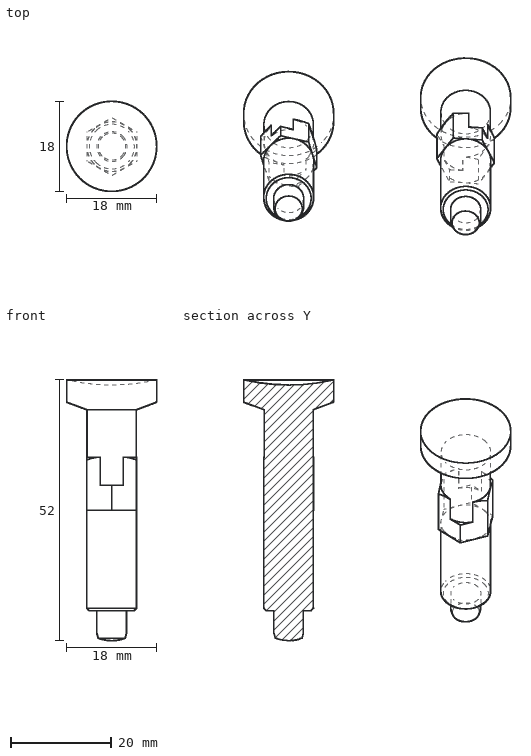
import cadquery as cq
import math

total_height = 52.0
tip_dome_top = 0.5
pin_edge = 1.55
sleeve_bottom = 6.0
hex_bottom = 26.0
slot_floor = 31.0
hex_top = 36.6
knob_bottom = 46.0
knob_cone_top = 47.55

pin_diameter = 6.0
tip_diameter = 5.4
body_diameter = 10.0
neck_diameter = 9.9
knob_diameter = 18.0
hex_width = body_diameter
slot_width = 4.6

sleeve_chamfer = 0.5
knob_rim = 0.25
knob_edge_radius = 0.4
dish_depth = 1.0
hex_chamfer_angle = 35.0

pin_radius = pin_diameter / 2
tip_radius = tip_diameter / 2
body_radius = body_diameter / 2
neck_radius = neck_diameter / 2
knob_radius = knob_diameter / 2
hex_corner_radius = hex_width / 2 / math.cos(math.radians(30))


def arc_height(radius, rise, position):
    """Height above the centre of a shallow spherical cap that rises to `rise` at `radius`."""
    sphere_radius = (radius**2 + rise**2) / (2 * rise)
    return sphere_radius - math.sqrt(sphere_radius**2 - position**2)


def make_body():
    """Pin, sleeve and neck turned about Z."""
    dome_middle = (tip_radius / 2, arc_height(tip_radius, tip_dome_top, tip_radius / 2))
    return (
        cq.Workplane("XZ")
        .moveTo(0, 0)
        .threePointArc(dome_middle, (tip_radius, tip_dome_top))
        .lineTo(pin_radius, pin_edge)
        .lineTo(pin_radius, sleeve_bottom)
        .lineTo(body_radius - sleeve_chamfer, sleeve_bottom)
        .lineTo(body_radius, sleeve_bottom + sleeve_chamfer)
        .lineTo(body_radius, hex_bottom)
        .lineTo(neck_radius, hex_bottom)
        .lineTo(neck_radius, knob_bottom)
        .lineTo(0, knob_bottom)
        .close()
        .revolve(360, (0, 0, 0), (0, 1, 0))
    )


def make_knob():
    """Round knob with a conical underside, a rounded lower edge and a dished top."""
    blank = (
        cq.Workplane("XZ")
        .moveTo(0, knob_bottom)
        .lineTo(neck_radius, knob_bottom)
        .lineTo(knob_radius, knob_cone_top)
        .lineTo(knob_radius, total_height)
        .lineTo(0, total_height)
        .close()
        .revolve(360, (0, 0, 0), (0, 1, 0))
    )
    lower_edge = cq.selectors.BoxSelector(
        (-knob_diameter, -knob_diameter, knob_cone_top - knob_edge_radius / 2),
        (knob_diameter, knob_diameter, knob_cone_top + knob_edge_radius / 2),
    )
    blank = blank.edges(lower_edge).fillet(knob_edge_radius)
    dish_radius = knob_radius - knob_rim
    dish_floor = total_height - dish_depth
    dish_middle = (dish_radius / 2, dish_floor + arc_height(dish_radius, dish_depth, dish_radius / 2))
    dish = (
        cq.Workplane("XZ")
        .moveTo(0, dish_floor)
        .threePointArc(dish_middle, (dish_radius, total_height))
        .lineTo(0, total_height)
        .close()
        .revolve(360, (0, 0, 0), (0, 1, 0))
    )
    return blank.cut(dish)


def make_hexagon():
    """Hexagon with corners on the Y axis, chamfered top corners and a slot at each Y corner."""
    height = hex_top - hex_bottom
    prism = (
        cq.Workplane("XY", origin=(0, 0, hex_bottom))
        .polygon(6, 2 * hex_corner_radius)
        .extrude(height)
        .rotate((0, 0, 0), (0, 0, 1), 90)
    )
    chamfer_drop = (hex_corner_radius - neck_radius) * math.tan(math.radians(hex_chamfer_angle))
    chamfer_envelope = (
        cq.Workplane("XZ")
        .moveTo(0, hex_bottom)
        .lineTo(hex_corner_radius, hex_bottom)
        .lineTo(hex_corner_radius, hex_top - chamfer_drop)
        .lineTo(neck_radius, hex_top)
        .lineTo(0, hex_top)
        .close()
        .revolve(360, (0, 0, 0), (0, 1, 0))
    )
    slot = cq.Workplane("XY", origin=(0, 0, slot_floor)).rect(slot_width, 2 * hex_corner_radius)
    return prism.intersect(chamfer_envelope).cut(slot.extrude(hex_top - slot_floor))


result = make_hexagon().union(make_body()).union(make_knob())